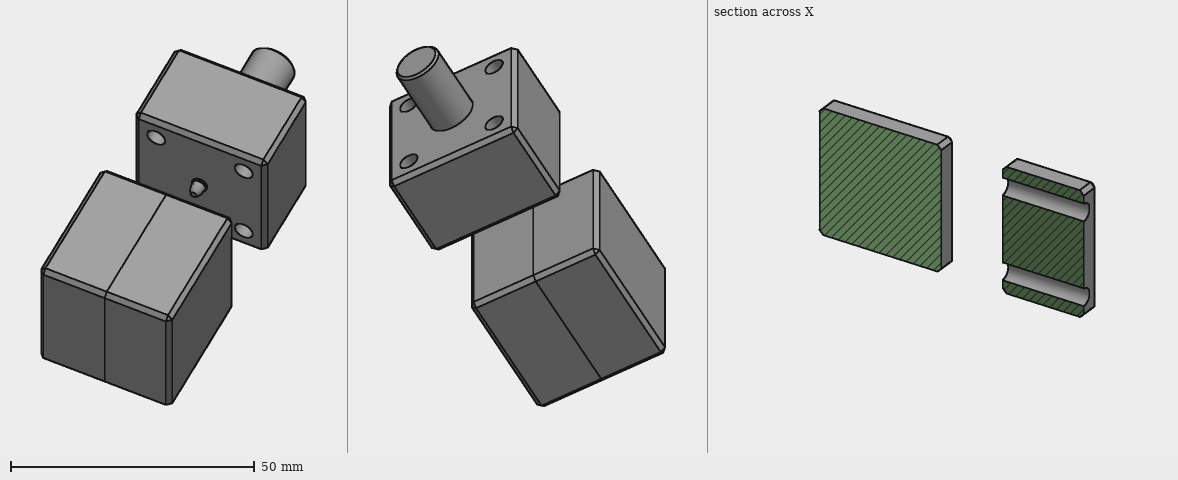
import cadquery as cq
import math

total_length = 80.0
block_width = 30.0
barrel_length = 20.0
mould_length = 30.0
flat_width = 28.0
bore_diameter = 10.0
plunger_clearance = 0.0505
plunger_chamfer = 0.505
bore_depth = 10.0
bolt_hole_diameter = 4.1
bolt_hole_spacing = 20.0
collar_diameter = 3.4
collar_length = 0.5
nozzle_diameter = 3.0
nozzle_tip_diameter = 1.4
nozzle_tip_angle = 45
nozzle_length = 3.05

block_chamfer = (block_width - flat_width) / 2

mould_gap = (total_length - mould_length - barrel_length) / 2
plunger_exposed = mould_gap
plunger_diameter = bore_diameter - 2 * plunger_clearance

barrel_front = mould_length + mould_gap
barrel_back = barrel_front + barrel_length
bore_floor = barrel_back - bore_depth


def chamfered_block(length, front):
    """Square block, centred on the Y axis, with every edge chamfered."""
    return (
        cq.Workplane("XY")
        .box(block_width, length, block_width)
        .edges()
        .chamfer(block_chamfer)
        .translate((0, front + length / 2, 0))
    )


def cylinder_along_y(diameter, length, start, places=((0, 0),)):
    """Cylinders pointing in +Y, standing on the plane y = start."""
    return (
        cq.Workplane("XZ", origin=(0, start, 0))
        .pushPoints(places)
        .circle(diameter / 2)
        .extrude(-length)
    )


def mould_half(side):
    """Half of the mould block; side is -1 for the -X half and +1 for the +X half."""
    half_box = (
        cq.Workplane("XY")
        .box(block_width / 2, mould_length, block_width)
        .translate((side * block_width / 4, mould_length / 2, 0))
    )
    return chamfered_block(mould_length, 0).intersect(half_box)


def make_nozzle():
    """Collar and truncated rounded nose, turned about the Y axis, that point to -Y."""
    collar_radius = collar_diameter / 2
    nose_radius = nozzle_diameter / 2
    tip_radius = nozzle_tip_diameter / 2
    tip_angle = math.radians(nozzle_tip_angle)
    nose_tangent = (0, -1)
    tip_tangent = (-math.sin(tip_angle), -math.cos(tip_angle))
    return (
        cq.Workplane("XY", origin=(0, barrel_front, 0))
        .moveTo(0, 0)
        .lineTo(collar_radius, 0)
        .lineTo(collar_radius, -collar_length)
        .lineTo(nose_radius, -collar_length)
        .spline([(tip_radius, -nozzle_length)], tangents=[nose_tangent, tip_tangent], includeCurrent=True)
        .lineTo(0, -nozzle_length)
        .close()
        .revolve(360, (0, 0, 0), (0, 1, 0))
    )


def make_barrel():
    """Block with its nozzle, the plunger bore and four bolt holes."""
    half_spacing = bolt_hole_spacing / 2
    corners = [(x, z) for x in (-half_spacing, half_spacing) for z in (-half_spacing, half_spacing)]
    bolt_holes = cylinder_along_y(bolt_hole_diameter, barrel_length, barrel_front, corners)
    bore = cylinder_along_y(bore_diameter, bore_depth, bore_floor)
    return chamfered_block(barrel_length, barrel_front).union(make_nozzle()).cut(bolt_holes).cut(bore)


def make_plunger():
    """Plunger resting on the bore floor, with a chamfered outer end."""
    length = bore_depth + plunger_exposed
    return (
        cylinder_along_y(plunger_diameter, length, bore_floor)
        .faces(">Y")
        .edges()
        .chamfer(plunger_chamfer)
    )


mould_halves = [mould_half(side) for side in (-1, 1)]
barrel = make_barrel()
plunger = make_plunger()

result = cq.Compound.makeCompound(
    [half.val() for half in mould_halves] + [barrel.val(), plunger.val()]
)